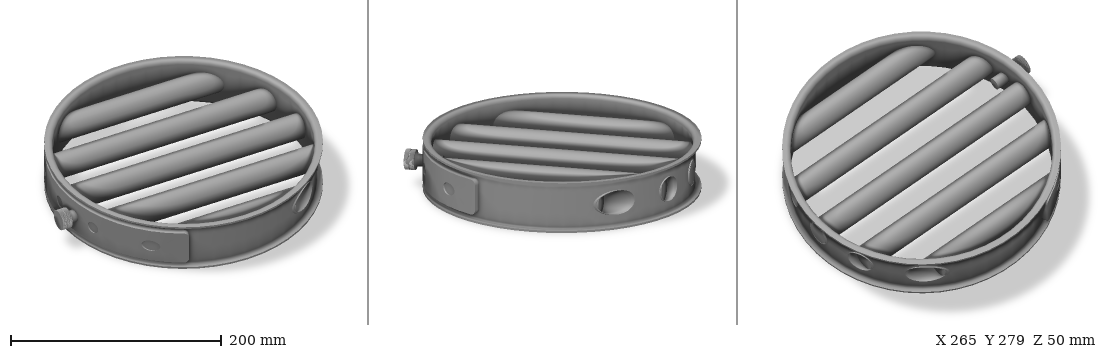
import cadquery as cq
import math

height = 50.0
flange_radius = 265.0 / 2
inner_radius = 249.0 / 2
sheet = 2.0
inside_bend = 2.0
outside_bend = inside_bend + sheet
wall_radius = inner_radius + sheet

tube_spacing = 50.0
tube_positions = [tube_spacing * i for i in range(-2, 3)]
tube_diameter = 25.0
tube_bore = 24.0
tube_stand_out = 1.0

plate_thickness = 6.0
plate_radius = wall_radius + plate_thickness
plate_height = 35.0
plate_half_angle = 65.0
plate_corner_radius = 5.0
core_diameter = 23.0
stud_diameter = 12.0
stud_recess = 1.0
outer_core_end = 62.7

knob_x = tube_spacing / 2
shank_diameter = 12.0
shank_clearance_diameter = 12.2
shank_end = -110.0
flare_start = -133.5
head_start = -136.5
head_end = -146.5
head_diameter = 20.0
flare_diameter = 17.0
knurl_count = 60
knurl_depth = 0.5
head_groove_width = 0.8
head_groove_depth = 0.6


def rod(diameter, x, y_start, y_end):
    """A cylinder parallel to Y at height zero."""
    plane = cq.Plane(origin=(x, y_start, 0), xDir=(1, 0, 0), normal=(0, 1, 0))
    return cq.Workplane(plane).circle(diameter / 2).extrude(y_end - y_start)


def disc(radius):
    """A cylinder around Z, as tall as the housing."""
    return cq.Workplane("XY").circle(radius).extrude(height / 2, both=True)


def flanged_ring():
    """Ring whose two edges are bent outwards into flat flanges."""
    top = height / 2
    under_flange = top - sheet
    bend_end = top - outside_bend
    bend_centre = inner_radius + outside_bend
    diagonal = math.sqrt(0.5)
    outside_x = bend_centre - outside_bend * diagonal
    outside_z = bend_end + outside_bend * diagonal
    inside_x = bend_centre - inside_bend * diagonal
    inside_z = bend_end + inside_bend * diagonal
    profile = (
        cq.Workplane("XZ")
        .moveTo(inner_radius, -bend_end)
        .lineTo(inner_radius, bend_end)
        .threePointArc((outside_x, outside_z), (bend_centre, top))
        .lineTo(flange_radius, top)
        .lineTo(flange_radius, under_flange)
        .lineTo(bend_centre, under_flange)
        .threePointArc((inside_x, inside_z), (wall_radius, bend_end))
        .lineTo(wall_radius, -bend_end)
        .threePointArc((inside_x, -inside_z), (bend_centre, -under_flange))
        .lineTo(flange_radius, -under_flange)
        .lineTo(flange_radius, -top)
        .lineTo(bend_centre, -top)
        .threePointArc((outside_x, -outside_z), (inner_radius, -bend_end))
        .close()
    )
    return profile.revolve(360, (0, 0, 0), (0, 1, 0))


def rear_half():
    """A block over everything on the +Y side of the housing axis."""
    block = cq.Workplane("XY").box(2 * flange_radius, flange_radius, height)
    return block.translate((0, flange_radius / 2, 0))


def tube_blanks(diameter):
    """Rods on all tube axes, longer than the housing is wide."""
    blanks = cq.Workplane("XY")
    for x in tube_positions:
        blanks = blanks.add(rod(diameter, x, -flange_radius, flange_radius))
    return blanks.combine()


def make_housing():
    """Flanged ring with the five tubes welded through its wall."""
    rear_limit = disc(wall_radius + tube_stand_out).intersect(rear_half())
    tube_limit = disc(wall_radius).union(rear_limit)
    tubes = tube_blanks(tube_diameter).intersect(tube_limit)
    housing = flanged_ring().union(tubes).cut(tube_blanks(tube_bore))
    return housing.cut(rod(shank_clearance_diameter, knob_x, -flange_radius, shank_end))


def core_end(x):
    """Y of the flat rear end of a core; the outer corners of all the ends lie on one circle."""
    side = core_diameter / 2
    end_radius = math.hypot(tube_positions[-1] + side, outer_core_end)
    return math.sqrt(end_radius**2 - (abs(x) + side) ** 2)


def curved_plate():
    """Front plate lying on the housing wall, with rounded corners."""
    reach = 2 * plate_radius
    half_angle = math.radians(plate_half_angle)
    side_x = reach * math.sin(half_angle)
    side_y = -reach * math.cos(half_angle)
    sector = (
        cq.Workplane("XY")
        .polyline([(0, 0), (-side_x, side_y), (0, -reach), (side_x, side_y)])
        .close()
        .extrude(plate_height / 2, both=True)
    )
    plate = disc(plate_radius).cut(disc(wall_radius)).intersect(sector)
    radial_edges = plate.edges("%LINE").edges("not |Z")
    return radial_edges.fillet(plate_corner_radius)


def make_drawer():
    """Curved front plate with five magnet cores, their studs ending just below the plate surface."""
    recesses = cq.Workplane("XY")
    cores = cq.Workplane("XY")
    for x in tube_positions:
        recesses = recesses.add(rod(stud_diameter, x, -plate_radius, 0))
        cores = cores.add(rod(core_diameter, x, -plate_radius, core_end(x)))
    recesses = recesses.combine().cut(disc(plate_radius - stud_recess))
    cores = cores.combine().intersect(disc(wall_radius).union(rear_half()))
    drawer = curved_plate().cut(recesses).union(cores)
    return drawer.cut(rod(shank_clearance_diameter, knob_x, -plate_radius, shank_end))


def make_knob():
    """Plain shank flaring into a knurled head with a groove around its middle."""
    shank_radius = shank_diameter / 2
    flare_radius = flare_diameter / 2
    flare_middle = (
        (2 * shank_radius + flare_radius) / 3,
        (flare_start + 2 * head_start) / 3,
    )
    stem = (
        cq.Workplane("XY")
        .moveTo(0, shank_end)
        .lineTo(shank_radius, shank_end)
        .lineTo(shank_radius, flare_start)
        .threePointArc(flare_middle, (flare_radius, head_start))
        .lineTo(0, head_start)
        .close()
        .revolve(360, (0, 0, 0), (0, 1, 0))
        .translate((knob_x, 0, 0))
    )
    outline = []
    for i in range(2 * knurl_count):
        radius = head_diameter / 2 - knurl_depth * (i % 2)
        angle = math.pi * i / knurl_count
        outline.append((radius * math.cos(angle), radius * math.sin(angle)))
    head_plane = cq.Plane(origin=(knob_x, head_start, 0), xDir=(1, 0, 0), normal=(0, -1, 0))
    head = cq.Workplane(head_plane).polyline(outline).close().extrude(head_start - head_end)
    groove_start = (head_start + head_end - head_groove_width) / 2
    groove_end = groove_start + head_groove_width
    groove = rod(head_diameter, knob_x, groove_start, groove_end).cut(
        rod(head_diameter - 2 * head_groove_depth, knob_x, groove_start, groove_end)
    )
    return stem.union(head.cut(groove))


housing = make_housing()
drawer = make_drawer()
knob = make_knob()
bodies = [body.solids().val() for body in (housing, drawer, knob)]
result = cq.Compound.makeCompound(bodies)